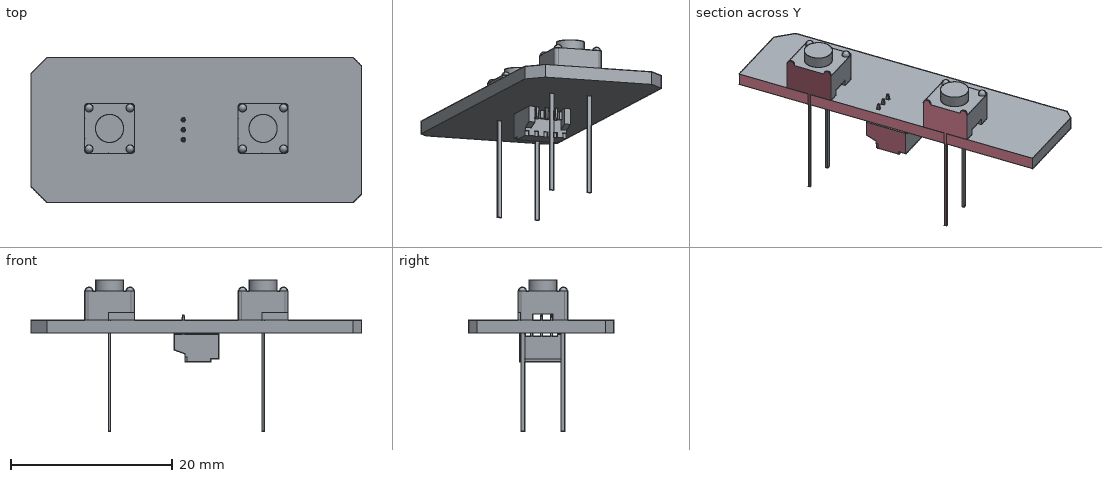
import cadquery as cq


BOARD_LENGTH = 41.0
BOARD_WIDTH = 18.0
BOARD_THICKNESS = 1.6
LEFT_CHAMFER = 2.0
RIGHT_CHAMFER = 1.05
BOARD_BOTTOM = -BOARD_THICKNESS

BUTTON_X_PLACES = (-10.75, 8.3)
BUTTON_Y = 0.2
CASE_SIDE = 6.2
CASE_HEIGHT = 3.6
CASE_CORNER_RADIUS = 0.4
PLUNGER_DIAMETER = 3.5
PLUNGER_HEIGHT = 1.4
STUD_DIAMETER = 1.0
STUD_SPACING = 5.1
CHANNEL_WIDTH = 2.5
CHANNEL_HEIGHT = 0.75
LEG_THICKNESS = 0.3
LEG_WIDTH = 0.5
LEG_SPACING = 4.95
LEG_BELOW_BOARD = 12.18
LEG_LENGTH = BOARD_THICKNESS + LEG_BELOW_BOARD
RELIEF_HEIGHT = 1.0
RELIEF_DEPTH = 0.33

CONNECTOR_Y = 0.05
HOUSING_LEFT = -2.75
HOUSING_LENGTH = 5.55
HOUSING_WIDTH = 5.4
HOUSING_GAP = 0.12
HOUSING_DEPTH = 3.45
CHEEK_WIDTH = 0.75
CHEEK_LENGTH = 1.35
CHEEK_DEPTH = 1.95
CHEEK_SLOPE_DROP = 0.5
REAR_STEP_LENGTH = 1.0
REAR_STEP_HEIGHT = 0.35
HOUSING_RIGHT = HOUSING_LEFT + HOUSING_LENGTH
HOUSING_TOP = BOARD_BOTTOM - HOUSING_GAP
HOUSING_BOTTOM = HOUSING_TOP - HOUSING_DEPTH
WALL_X = HOUSING_LEFT + CHEEK_LENGTH
CHEEK_GAP = HOUSING_WIDTH - 2 * CHEEK_WIDTH
MIDDLE_DROP = 0.25
MIDDLE_TOP = HOUSING_TOP - MIDDLE_DROP
LEDGE_HEIGHT = 1.0
SLOT_MOUTH_WIDTH = 0.75
SLOT_WALL_WIDTH = 0.5
NOTCH_WIDTH = 0.5
NOTCH_HEIGHT = 0.6
NOTCH_DEPTH = 0.25

PIN_COUNT = 3
PIN_PITCH = 1.25
PIN_X = -1.6
PIN_LENGTH_X = 0.35
PIN_WIDTH_Y = 0.3
PIN_ABOVE_BOARD = 0.6
PIN_TIP_TAPER_X = 0.1
PIN_TIP_TAPER_Y = 0.05
PIN_BEND_RADIUS = 0.75
PIN_BELOW_BOARD = 1.5
PIN_EMBEDDED_LENGTH = 1.1
PIN_HOLE_DIAMETER = 0.5
PIN_LEFT = PIN_X - PIN_LENGTH_X / 2
PIN_RIGHT = PIN_X + PIN_LENGTH_X / 2
PIN_BOTTOM = BOARD_BOTTOM - PIN_BELOW_BOARD
PIN_EMBEDDED_END = WALL_X + PIN_EMBEDDED_LENGTH

PIN_Y_PLACES = [CONNECTOR_Y + (i - (PIN_COUNT - 1) / 2) * PIN_PITCH for i in range(PIN_COUNT)]


def box(x_range, y_range, z_range):
    """Box between two limits along each axis."""
    (x0, x1), (y0, y1), (z0, z1) = x_range, y_range, z_range
    return cq.Workplane("XY").box(x1 - x0, y1 - y0, z1 - z0, centered=False).translate((x0, y0, z0))


def around(centre, width):
    """Lower and upper limit of a width centred on a place."""
    return centre - width / 2, centre + width / 2


def make_legs(button_x):
    """Two flat straight legs, from the case down through the board."""
    return (
        cq.Workplane("XY")
        .center(button_x, BUTTON_Y)
        .rarray(0.4, LEG_SPACING, 1, 2)
        .rect(LEG_THICKNESS, LEG_WIDTH)
        .extrude(-LEG_LENGTH)
    )


def make_button(button_x):
    """Push button: case with plunger, four domed studs and two legs."""
    case = (
        cq.Workplane("XY")
        .rect(CASE_SIDE, CASE_SIDE)
        .extrude(CASE_HEIGHT)
        .edges("|Z")
        .fillet(CASE_CORNER_RADIUS)
    )
    half_side = CASE_SIDE / 2
    channel = box((-half_side, half_side), around(0, CHANNEL_WIDTH), (0, CHANNEL_HEIGHT))
    relief = box(
        (-LEG_THICKNESS / 2, half_side),
        (-half_side, -half_side + RELIEF_DEPTH),
        (0, RELIEF_HEIGHT),
    )
    plunger = (
        cq.Workplane("XY")
        .workplane(offset=CASE_HEIGHT)
        .circle(PLUNGER_DIAMETER / 2)
        .extrude(PLUNGER_HEIGHT)
    )
    studs = (
        cq.Workplane("XY")
        .workplane(offset=CASE_HEIGHT)
        .rarray(STUD_SPACING, STUD_SPACING, 2, 2)
        .eachpoint(lambda place: cq.Solid.makeSphere(STUD_DIAMETER / 2, angleDegrees1=0).moved(place))
    )
    body = case.cut(channel).cut(relief).union(plunger).union(studs)
    return body.translate((button_x, BUTTON_Y, 0)).union(make_legs(button_x))


def make_pin_slot(pin_y):
    """Upright slot through the ledge, narrowing from its mouth to the wall."""
    outline = [
        (PIN_LEFT, pin_y - SLOT_MOUTH_WIDTH / 2),
        (WALL_X, pin_y - SLOT_WALL_WIDTH / 2),
        (WALL_X, pin_y + SLOT_WALL_WIDTH / 2),
        (PIN_LEFT, pin_y + SLOT_MOUTH_WIDTH / 2),
    ]
    return cq.Workplane("XY", origin=(0, 0, MIDDLE_TOP)).polyline(outline).close().extrude(-LEDGE_HEIGHT)


def make_housing():
    """Connector housing below the board, without its pins."""
    profile = [
        (HOUSING_LEFT, HOUSING_TOP),
        (HOUSING_RIGHT, HOUSING_TOP),
        (HOUSING_RIGHT, HOUSING_BOTTOM + REAR_STEP_HEIGHT),
        (HOUSING_RIGHT - REAR_STEP_LENGTH, HOUSING_BOTTOM + REAR_STEP_HEIGHT),
        (HOUSING_RIGHT - REAR_STEP_LENGTH, HOUSING_BOTTOM),
        (WALL_X, HOUSING_BOTTOM),
        (WALL_X, HOUSING_TOP - CHEEK_DEPTH - CHEEK_SLOPE_DROP),
        (HOUSING_LEFT, HOUSING_TOP - CHEEK_DEPTH),
    ]
    housing = (
        cq.Workplane("XZ", origin=(0, CONNECTOR_Y, 0))
        .polyline(profile)
        .close()
        .extrude(HOUSING_WIDTH / 2, both=True)
    )

    middle = around(CONNECTOR_Y, CHEEK_GAP)
    housing = housing.cut(box((HOUSING_LEFT, WALL_X), middle, (HOUSING_BOTTOM, HOUSING_TOP)))
    housing = housing.cut(box((HOUSING_LEFT, HOUSING_RIGHT), middle, (MIDDLE_TOP, HOUSING_TOP)))

    ledge = box((PIN_LEFT, WALL_X), middle, (MIDDLE_TOP - LEDGE_HEIGHT, MIDDLE_TOP))
    for pin_y in PIN_Y_PLACES:
        ledge = ledge.cut(make_pin_slot(pin_y))
    housing = housing.union(ledge)

    corner_offset = (HOUSING_WIDTH - NOTCH_WIDTH) / 2
    corner_places = [CONNECTOR_Y - corner_offset, CONNECTOR_Y + corner_offset]
    for notch_y in PIN_Y_PLACES + corner_places:
        housing = housing.cut(
            box(
                (WALL_X, WALL_X + NOTCH_DEPTH),
                around(notch_y, NOTCH_WIDTH),
                (HOUSING_BOTTOM, HOUSING_BOTTOM + NOTCH_HEIGHT),
            )
        )
    return housing


def make_pin(pin_y):
    """Bent pin: tapered tip above the board, round bend below it, end inside the housing."""
    shank = box((PIN_LEFT, PIN_RIGHT), around(pin_y, PIN_WIDTH_Y), (PIN_BOTTOM, 0))
    foot = box(
        (PIN_LEFT, PIN_EMBEDDED_END),
        around(pin_y, PIN_WIDTH_Y),
        (PIN_BOTTOM, PIN_BOTTOM + PIN_LENGTH_X),
    )
    bent = shank.union(foot).edges("|Y and <X and <Z").fillet(PIN_BEND_RADIUS)
    tip = (
        cq.Workplane("XY", origin=(PIN_X, pin_y, 0))
        .rect(PIN_LENGTH_X, PIN_WIDTH_Y)
        .workplane(offset=PIN_ABOVE_BOARD)
        .rect(PIN_LENGTH_X - 2 * PIN_TIP_TAPER_X, PIN_WIDTH_Y - 2 * PIN_TIP_TAPER_Y)
        .loft(ruled=True)
    )
    return bent.union(tip)


def make_connector():
    """Three-pin connector: housing and its pins as one body."""
    connector = make_housing()
    for pin_y in PIN_Y_PLACES:
        connector = connector.union(make_pin(pin_y))
    return connector


def make_board():
    """Circuit board with chamfered corners, round pin holes and fitted leg holes."""
    board = cq.Workplane("XY").rect(BOARD_LENGTH, BOARD_WIDTH).extrude(-BOARD_THICKNESS)
    board = board.edges("|Z and <X").chamfer(LEFT_CHAMFER)
    board = board.edges("|Z and >X").chamfer(RIGHT_CHAMFER)
    pin_holes = (
        cq.Workplane("XY")
        .pushPoints([(PIN_X, pin_y) for pin_y in PIN_Y_PLACES])
        .circle(PIN_HOLE_DIAMETER / 2)
        .extrude(-BOARD_THICKNESS)
    )
    board = board.cut(pin_holes)
    for button_x in BUTTON_X_PLACES:
        board = board.cut(make_legs(button_x))
    return board


board = make_board()
connector = make_connector()
buttons = [make_button(button_x) for button_x in BUTTON_X_PLACES]

result = cq.Compound.makeCompound([board.val(), connector.val(), *[button.val() for button in buttons]])